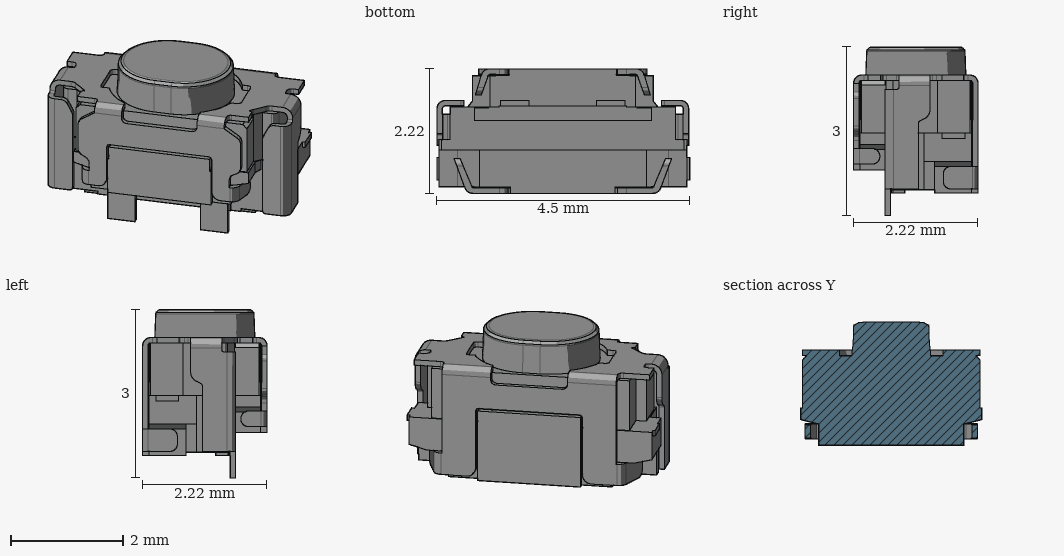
import cadquery as cq
import math

overall_width = 4.5
sheet = 0.1
cover_top = 2.1
cover_bottom = cover_top - sheet
overall_depth = 2.22
half_depth = overall_depth / 2
half_wing = 2.24
bend_radius = 0.155
cover_half_width = 1.58
front_bend_end = 1.195
cover_end_x = 2.138
relief_y = 0.85
notch_floor_x = 1.945
notch_rear = 0.465
wing_bend_radius = 0.19

housing_half_depth = 0.99
housing_bottom = 0.055
housing_half_width = 1.985
base_half_width = 2.005
rear_post_half_width = 1.795
rear_post_front = 0.385
post_half_depth = 0.965
ledge_z = 1.07
shoulder_half_width = 2.205
leg_half_width = 2.16
shoulder_front = 0.15
shoulder_bottom = 0.56
foot_inner = 1.325
foot_outer = 1.575
foot_front = -0.41
foot_rear = -0.195
base_front = -0.43
front_block_half_width = 1.29
front_block_bottom = 0.405
overhang_z = 0.78
overhang_slope = 0.26
rear_block_half_width = 1.485
rear_block_front = 0.335
rear_pocket_top = 0.472
post_half_width = cover_half_width
post_chamfer = 0.075

nub_right_end = overall_width - half_wing
nub_front = 0.47
nub_rear = 0.875
nub_bottom = 0.968

pad_half_width = 0.93
pad_base_half_width = 0.955
pad_top = 1.305
window_half_width = 0.97
window_top = 1.355
arm_half_width = 1.5
front_arm_bottom = 0.515

gap_half_width = 0.698
gap_floor = 1.815

button_top = 2.6
button_radius = 0.895
button_center_x = 0.158
button_taper = 2.2
button_edge_steps = ((0.085, 0.01), (0.06, 0.05), (0.015, 0.035))
opening_radius = 1.035
slot_half_length = 1.295
slot_half_width = 0.375

hook_reach = 0.125
hook_corner = 0.135
hook_length = 0.47
hook_tip_x = 1.555
hook_top = 0.79
rear_hook_length = 0.62
rear_hook_tip_x = 1.935

flange_front = -0.55
flange_end = 1.755
flange_top = 1.845
wing_bottom = 0.07
wing_front = -0.3
wing_rear = 0.25
wing_lower_rear = 0.045
pin_inner = 0.605
pin_width = 0.505
pin_bottom = -0.4
pin_backing_half_width = 1.135


def outline(plane, corners):
    """Closed wire on a plane; a corner is (u, v) or (u, v, fillet radius)."""
    count = len(corners)
    wire = None
    for i, corner in enumerate(corners):
        point = cq.Vector(*corner[:2])
        to_last = (cq.Vector(*corners[i - 1][:2]) - point).normalized()
        to_next = (cq.Vector(*corners[(i + 1) % count][:2]) - point).normalized()
        radius = corner[2] if len(corner) > 2 else 0
        half_angle = to_last.getAngle(to_next) / 2
        setback = radius / math.tan(half_angle)
        start = point + to_last * setback
        if wire is None:
            wire = cq.Workplane(plane).moveTo(start.x, start.y)
        else:
            wire = wire.lineTo(start.x, start.y)
        if radius:
            inward = (to_last + to_next).normalized()
            middle = point + inward * (radius / math.sin(half_angle) - radius)
            end = point + to_next * setback
            wire = wire.threePointArc((middle.x, middle.y), (end.x, end.y))
    return wire.close()


def box(x, y, z):
    """Box from (low, high) pairs."""
    size = [high - low for low, high in (x, y, z)]
    return cq.Workplane("XY").box(*size, centered=False).translate((x[0], y[0], z[0]))


def prism_xy(corners, low, high):
    return outline("XY", corners).extrude(high - low).translate((0, 0, low))


def prism_xz(corners, low, high):
    return outline("XZ", corners).extrude(low - high).translate((0, low, 0))


def prism_yz(corners, low, high):
    return outline("YZ", corners).extrude(high - low).translate((low, 0, 0))


def both_sides(shape):
    """The right-hand shape joined with its left-hand mirror image."""
    return shape.union(shape.mirror("YZ"))


def bend(plane, center, signs, radius, low, high):
    """Quarter of a sheet bend, swept along the normal of its plane."""
    u, v = center
    su, sv = signs
    ring = cq.Workplane(plane).center(u, v).circle(radius).circle(radius - sheet).extrude(high - low)
    quarter = cq.Workplane(plane).center(u + su * radius / 2, v + sv * radius / 2)
    part = ring.intersect(quarter.rect(radius, radius).extrude(high - low))
    return part.translate((low, 0, 0) if plane == "YZ" else (0, 0, low))


def make_housing():
    """Plastic body with undercuts, feet and window pads."""
    upper = prism_xy(
        [(0, -housing_half_depth), (gap_half_width, -housing_half_depth),
         (gap_half_width, -post_half_depth), (post_half_width, -post_half_depth),
         (post_half_width, -0.525), (1.71, -0.405), (housing_half_width, -0.405, 0.11),
         (housing_half_width, rear_post_front), (rear_post_half_width, rear_post_front),
         (rear_post_half_width, post_half_depth), (gap_half_width, post_half_depth),
         (gap_half_width, housing_half_depth), (0, housing_half_depth)],
        ledge_z, cover_bottom)
    upper = upper.cut(prism_xz(
        [(post_half_width - post_chamfer, cover_bottom), (post_half_width, cover_bottom - post_chamfer),
         (post_half_width, cover_bottom)],
        -post_half_depth, flange_front))
    lower = prism_xy(
        [(0, -housing_half_depth), (1.61, -housing_half_depth), (1.61, -0.535), (1.69, base_front),
         (base_half_width, base_front), (base_half_width, shoulder_front),
         (shoulder_half_width, shoulder_front), (shoulder_half_width, housing_half_depth),
         (0, housing_half_depth)],
        housing_bottom, ledge_z)

    overhang_run = shoulder_half_width - front_block_half_width
    front_undercut = prism_xz(
        [(0, 0), (0, front_block_bottom), (front_block_half_width, front_block_bottom),
         (front_block_half_width, overhang_z),
         (shoulder_half_width, overhang_z + overhang_slope * overhang_run), (shoulder_half_width, 0)],
        -half_depth, base_front)
    pocket_slope_x = shoulder_half_width - (shoulder_bottom - rear_pocket_top) / overhang_slope
    rear_undercut = prism_xz(
        [(rear_block_half_width, 0), (rear_block_half_width, rear_pocket_top),
         (pocket_slope_x, rear_pocket_top), (shoulder_half_width, shoulder_bottom), (shoulder_half_width, 0)],
        rear_block_front, half_depth)
    leg_step = box((leg_half_width, shoulder_half_width), (shoulder_front, rear_block_front),
                   (housing_bottom, shoulder_bottom))
    half = upper.union(lower).cut(front_undercut).cut(rear_undercut).cut(leg_step)

    half = half.union(box((0, pin_backing_half_width), (flange_front + sheet, base_front),
                          (0, front_block_bottom)))
    half = half.union(box((0, foot_inner), (base_front, foot_rear), (0, housing_bottom)))
    half = half.union(box((foot_inner, foot_outer), (foot_front, foot_rear), (0, housing_bottom)))
    half = half.union(box((0, rear_block_half_width), (rear_block_front, housing_half_depth),
                          (0, housing_bottom)))
    half = half.union(box((0, pad_half_width), (-half_depth, -housing_half_depth),
                          (front_block_bottom, pad_top)))
    half = half.union(box((0, pad_base_half_width), (-half_depth, -housing_half_depth),
                          (front_block_bottom, ledge_z)))
    half = half.union(box((0, pad_half_width), (housing_half_depth, half_depth), (0, pad_top)))
    return both_sides(half)


def make_side_nubs():
    """Small blocks on the shoulder ends."""
    nubs = cq.Workplane("XY")
    for x in ((-half_wing, -housing_half_width), (housing_half_width, nub_right_end)):
        nubs = nubs.union(box(x, (nub_front, nub_rear), (nub_bottom, ledge_z)))
    return nubs


def make_cover_top():
    """Flat metal top with the opening around the button."""
    bend_line_y = half_depth - bend_radius
    bend_line_x = half_wing - wing_bend_radius
    half = prism_xy(
        [(0, -bend_line_y), (front_bend_end, -bend_line_y), (front_bend_end, -relief_y, 0.068),
         (cover_half_width, -relief_y), (cover_half_width, -0.63), (1.52, -0.585), (cover_half_width, -0.52),
         (1.8, wing_front, 0.135), (bend_line_x, wing_front), (bend_line_x, wing_rear),
         (notch_floor_x, wing_rear, 0.045), (notch_floor_x, notch_rear, 0.1),
         (cover_end_x, notch_rear), (cover_end_x, relief_y), (cover_half_width, relief_y, 0.08),
         (cover_half_width, bend_line_y), (0, bend_line_y)],
        cover_bottom, cover_top)
    gap = box((0, gap_half_width), (-half_depth, half_depth), (cover_bottom, cover_top))
    round_part = (cq.Workplane("XY", origin=(button_center_x, 0, cover_bottom))
                  .circle(opening_radius).extrude(sheet))
    slot = prism_xy(
        [(0, -slot_half_width), (slot_half_length, -slot_half_width, 0.07),
         (slot_half_length, slot_half_width, 0.07), (0, slot_half_width)],
        cover_bottom, cover_top)
    return both_sides(half.cut(gap).cut(round_part).cut(slot))


def make_wings():
    """Side wings with their front flanges."""
    bend_z = cover_top - wing_bend_radius
    bend_x = half_wing - wing_bend_radius
    flat = prism_yz(
        [(wing_rear, bend_z), (wing_rear, 1.372, 0.18), (wing_lower_rear, 1.27, 0.045),
         (wing_lower_rear, wing_bottom), (flange_front + bend_radius, wing_bottom),
         (flange_front + bend_radius, flange_top), (wing_front, flange_top, 0.035),
         (wing_front, bend_z)],
        half_wing - sheet, half_wing)
    flange_bend_x = half_wing - bend_radius
    flange = prism_xz(
        [(flange_bend_x, flange_top), (1.89, flange_top, 0.135), (flange_end, 1.595, 0.135),
         (flange_end, wing_bottom, 0.055), (flange_bend_x, wing_bottom)],
        flange_front, flange_front + sheet)
    corner = bend("XY", (flange_bend_x, flange_front + bend_radius), (1, -1), bend_radius,
                  wing_bottom, flange_top)
    top_bend = (cq.Workplane("XZ", origin=(0, wing_rear, 0))
                .moveTo(bend_x, cover_top)
                .radiusArc((half_wing, bend_z), wing_bend_radius)
                .lineTo(half_wing - sheet, bend_z)
                .radiusArc((bend_x, cover_bottom), sheet - wing_bend_radius)
                .close().extrude(wing_rear - wing_front))
    return both_sides(flat.union(flange).union(corner).union(top_bend))


def make_hook(root_x, tip_x, tip_y, z_low, z_high):
    """Tab that leaves the front plate at root_x and curls back to its tip."""
    elbow_x = root_x + hook_reach
    lean = math.atan2(tip_x - elbow_x, tip_y + half_depth)
    tip_inner_x = tip_x - sheet * math.cos(lean)
    tip_inner_y = tip_y + sheet * math.sin(lean)
    overlap_x = root_x - sheet
    strip = prism_xy(
        [(overlap_x, -half_depth), (elbow_x, -half_depth, bend_radius), (tip_x, tip_y),
         (tip_inner_x, tip_inner_y), (elbow_x - sheet, sheet - half_depth, bend_radius - sheet),
         (overlap_x, sheet - half_depth)],
        z_low, z_high)
    side_shape = prism_yz(
        [(-half_depth, z_low), (tip_y, z_low, hook_corner), (tip_y, z_high, hook_corner),
         (-half_depth, z_high)],
        overlap_x, tip_x)
    return strip.intersect(side_shape)


def make_plate(right_edge, bend_end, arm_bottom, hook):
    """Upright front plate; right_edge lists its outer corners from top to bottom."""
    bend_z = cover_top - bend_radius
    half = prism_xz(
        [(0, gap_floor), (gap_half_width, gap_floor, 0.1), (gap_half_width, bend_z), (bend_end, bend_z)]
        + right_edge
        + [(window_half_width, arm_bottom, 0.158), (window_half_width, window_top, 0.068), (0, window_top)],
        -half_depth, sheet - half_depth)
    top_bend = bend("YZ", (bend_radius - half_depth, bend_z), (-1, 1), bend_radius,
                    gap_half_width, bend_end)
    return both_sides(half.union(top_bend).union(hook))


def make_front_plate():
    """Front plate whose arms narrow towards the hooks."""
    arm_bottom = front_arm_bottom
    root = front_block_half_width
    edge = [(arm_half_width, 1.755, 0.135), (arm_half_width, 1.125, 0.112), (root, 1.012, 0.135), (root, arm_bottom)]
    hook = make_hook(root, hook_tip_x, hook_length - half_depth, arm_bottom, hook_top)
    return make_plate(edge, front_bend_end, arm_bottom, hook)


def make_rear_plate():
    """Straight rear plate reaching almost to the feet."""
    arm_bottom = wing_bottom
    root = cover_half_width
    hook = make_hook(root, rear_hook_tip_x, rear_hook_length - half_depth, arm_bottom, rear_pocket_top)
    return make_plate([(root, arm_bottom)], root, arm_bottom, hook).mirror("XZ")


def make_button():
    """Tapered button with a bevelled rim."""
    foot = cq.Workplane("XY", origin=(0, 0, cover_bottom))
    button = (foot.slot2D(2 * (button_radius + button_center_x), 2 * button_radius)
              .extrude(button_top - cover_bottom, taper=button_taper))
    for height, width in button_edge_steps:
        button = button.faces(">Z").chamfer(height, width)
    return button


def make_pins():
    """Two flat terminal pins."""
    pin = box((pin_inner, pin_inner + pin_width), (flange_front, flange_front + sheet),
              (pin_bottom, front_block_bottom + sheet))
    return both_sides(pin)


result = make_housing()
for feature in (make_side_nubs(), make_cover_top(), make_wings(), make_front_plate(),
                make_rear_plate(), make_button(), make_pins()):
    result = result.union(feature)